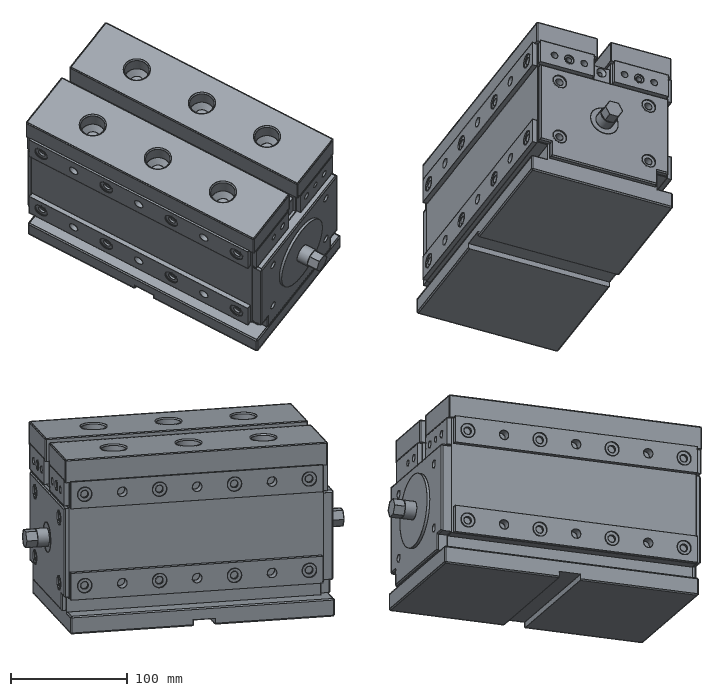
import cadquery as cq


base_left = -116.2
base_length = 233.0
base_width = 133.3
base_height = 15.7
base_chamfer = 1.0
key_slot_center = 2.0
key_slot_width = 19.5
key_slot_height = 5.3

body_left = base_left
body_right = 108.5
body_width = 122.5
body_top = 111.2
neck_width = 103.3
shoulder_height = 30.2

plate_width = 121.0
plate_neck_width = 100.2
plate_top = 110.3
plate_bottom = 16.8
plate_shoulder = 31.5
plate_chamfer = 1.0
left_plate_thickness = 4.2
right_plate_thickness = 9.0
right_plate_top_chamfer = 1.7
left_plate_face = body_left - left_plate_thickness
right_plate_face = body_right + right_plate_thickness
plate_screw_y = 42.0
plate_screw_heights = (39.5, 97.5)
plate_screw_bore = 6.7
plate_screw_head = 12.5
plate_screw_head_depth = 1.0

spindle_z = 68.5
spindle_length = 280.0
spindle_diameter = 16.0
hex_across_flats = 14.0
hex_length = 9.8
spindle_recess = 26.0
spindle_recess_depth = 0.3
flange_diameter = 64.7
flange_face = 119.8

total_height = 154.3
slab_left = -120.0
slab_right = 111.5
slab_bottom = 134.0
slab_inner_y = 6.2
slab_outer_y = 63.5
slab_chamfer = 0.8
slide_inner_y = 7.8
slide_outer_y = body_width / 2

cover_inner_y = 9.5
cover_outer_y = 60.5
cover_bottom = 112.8
cover_top = 135.5
left_cover_face = -120.5
right_cover_face = 112.3
right_cover_bottom = plate_top
right_cover_top = slab_bottom
cover_hole_z = 123.5
cover_screw_y = 33.0
cover_screw_bore = 5.0
cover_screw_head = 8.7
cover_screw_head_depth = 1.0
cover_side_hole = 6.2
cover_side_offset = 14.0
blind_hole_depth = 22.5

rib_left = -114.2
rib_right = 105.8
rib_top = 128.8
rib_cap_length = 3.0
rib_cap_rise = 0.3
rib_hole_z = cover_hole_z
rib_hole_mouth = 8.7
rib_hole_bore = 4.2
rib_hole_cone_depth = 2.8

bore_pitch = 66.0
bore_middle_x = -4.2
bore_y = 35.0
bore_diameter = 21.0
bore_mouth_diameter = 23.2
bore_straight_depth = 13.0
bore_floor_diameter = 11.2
bore_cone_depth = 4.2

bar_left = -115.5
bar_right = 106.7
bar_outer_y = 65.5
bar_height = 23.8
bar_bottoms = (30.0, 111.2)
bar_screw_height = 12.0
bar_screw_head = 12.5
bar_screw_head_depth = 1.0
bar_socket = 6.7
bar_socket_depth = 3.5
bar_hole = 8.5
bar_hole_depth = 8.5


def block(x_range, y_range, z_range):
    """Box between the given limits on each axis."""
    limits = (x_range, y_range, z_range)
    sizes = [high - low for low, high in limits]
    corner = tuple(low for low, high in limits)
    return cq.Workplane("XY").box(*sizes, centered=False).translate(corner)


def rod_x(x_start, x_end, y, z, diameter):
    """Round rod running along X."""
    return (
        cq.Workplane("YZ", origin=(x_start, y, z))
        .circle(diameter / 2)
        .extrude(x_end - x_start)
    )


def shouldered_prism(x_start, x_end, width, narrow_width, bottom, shoulder, top):
    """Prism along X, narrow from its bottom to the shoulder and full width up to its top."""
    half = width / 2
    narrow = narrow_width / 2
    outline = [
        (-narrow, bottom),
        (narrow, bottom),
        (narrow, shoulder),
        (half, shoulder),
        (half, top),
        (-half, top),
        (-half, shoulder),
        (-narrow, shoulder),
    ]
    return (
        cq.Workplane("YZ", origin=(x_start, 0, 0))
        .polyline(outline)
        .close()
        .extrude(x_end - x_start)
    )


def make_base():
    half_width = base_width / 2
    base_x = (base_left, base_left + base_length)
    base = block(base_x, (-half_width, half_width), (0, base_height)).edges().chamfer(base_chamfer)
    half_slot = key_slot_width / 2
    slot_x = (key_slot_center - half_slot, key_slot_center + half_slot)
    return base.cut(block(slot_x, (-half_width, half_width), (0, key_slot_height)))


def make_body():
    body_bottom = base_height - base_chamfer
    body = shouldered_prism(
        body_left, body_right, body_width, neck_width, body_bottom, shoulder_height, body_top
    )
    plate_section = (plate_width, plate_neck_width, plate_bottom, plate_shoulder, plate_top)
    left_plate = shouldered_prism(left_plate_face, body_left, *plate_section)
    left_plate = left_plate.faces("<X").chamfer(plate_chamfer)
    recess_end = left_plate_face + spindle_recess_depth
    left_plate = left_plate.cut(
        rod_x(left_plate_face, recess_end, 0, spindle_z, spindle_recess)
    )
    right_plate = shouldered_prism(body_right, right_plate_face, *plate_section)
    right_plate = right_plate.faces(">X").chamfer(plate_chamfer)
    right_plate = right_plate.faces(">Z").edges("|X").chamfer(right_plate_top_chamfer)
    flange = rod_x(right_plate_face, flange_face, 0, spindle_z, flange_diameter)
    return body.union(left_plate).union(right_plate).union(flange)


def make_spindle():
    half_length = spindle_length / 2
    shoulder_x = half_length - hex_length
    hex_corner_diameter = 2 * hex_across_flats / 3**0.5
    spindle = rod_x(-shoulder_x, shoulder_x, 0, spindle_z, spindle_diameter)
    for end_x in (-half_length, shoulder_x):
        hexagon = (
            cq.Workplane("YZ", origin=(end_x, 0, spindle_z))
            .polygon(6, hex_corner_diameter)
            .extrude(hex_length)
        )
        spindle = spindle.union(hexagon)
    return spindle


def make_jaw():
    """Jaw on the +Y side, with its end covers."""
    slab = (
        block((slab_left, slab_right), (slab_inner_y, slab_outer_y), (slab_bottom, total_height))
        .faces(">Z or <Y or >Y")
        .edges("not <Z")
        .chamfer(slab_chamfer)
    )
    slide = block(
        (body_left, body_right), (slide_inner_y, slide_outer_y), (body_top, slab_bottom)
    )
    cover_y = (cover_inner_y, cover_outer_y)
    left_cover = block((left_cover_face, body_left), cover_y, (cover_bottom, cover_top))
    right_cover = block(
        (body_right, right_cover_face), cover_y, (right_cover_bottom, right_cover_top)
    )
    return slab.union(slide).union(left_cover).union(right_cover).cut(make_slab_bores())


def make_slab_bores():
    """Row of three mouth-chamfered bores, each with a conical bottom and a small flat floor."""
    rim = (bore_mouth_diameter - bore_diameter) / 2
    wall_end = total_height - bore_straight_depth
    profile = [
        (0, total_height),
        (bore_mouth_diameter / 2, total_height),
        (bore_diameter / 2, total_height - rim),
        (bore_diameter / 2, wall_end),
        (bore_floor_diameter / 2, wall_end - bore_cone_depth),
        (0, wall_end - bore_cone_depth),
    ]
    bore = cq.Workplane("XZ").polyline(profile).close().revolve(360, (0, 0, 0), (0, 1, 0))
    bores = cq.Workplane("XY")
    for step in (-1, 0, 1):
        bores = bores.add(bore.translate((bore_middle_x + step * bore_pitch, bore_y, 0)))
    return bores.combine()


def make_rib():
    half_width = slide_inner_y
    rib_y = (-half_width, half_width)
    rib = block((rib_left, rib_right), rib_y, (body_top, rib_top - rib_cap_rise))
    for start in (rib_left, rib_right - rib_cap_length):
        rib = rib.union(block((start, start + rib_cap_length), rib_y, (body_top, rib_top)))
    return rib


def make_side_bar(bottom):
    """Screwed-on bar on the +Y face, without its holes."""
    return block(
        (bar_left, bar_right), (body_width / 2, bar_outer_y), (bottom, bottom + bar_height)
    )


def make_side_bar_holes(bottom):
    """Sunk screw heads and plain holes, alternating at half the bore pitch."""
    hole_z = bottom + bar_screw_height

    def drill(steps, diameter, depth):
        centers = [(bore_middle_x + step * bore_pitch, hole_z) for step in steps]
        return (
            cq.Workplane("XZ", origin=(0, bar_outer_y, 0))
            .pushPoints(centers)
            .circle(diameter / 2)
            .extrude(depth)
        )

    screw_steps = (-1.5, -0.5, 0.5, 1.5)
    heads = drill(screw_steps, bar_screw_head, bar_screw_head_depth)
    sockets = drill(screw_steps, bar_socket, bar_socket_depth)
    plain_holes = drill((-1, 0, 1), bar_hole, bar_hole_depth)
    return heads.union(sockets).union(plain_holes)


def make_end_holes():
    """Holes running along X through the body, the slides and the rib."""
    x_start = left_cover_face
    x_end = right_plate_face
    holes = cq.Workplane("XY")
    for side in (-1, 1):
        for z in plate_screw_heights:
            y = side * plate_screw_y
            head_end = left_plate_face + plate_screw_head_depth
            holes = holes.add(rod_x(x_start, x_end, y, z, plate_screw_bore))
            holes = holes.add(rod_x(x_start, head_end, y, z, plate_screw_head))

        y = side * cover_screw_y
        head_end = left_cover_face + cover_screw_head_depth
        holes = holes.add(rod_x(x_start, x_end, y, cover_hole_z, cover_screw_bore))
        holes = holes.add(rod_x(x_start, head_end, y, cover_hole_z, cover_screw_head))

        outer_y = side * (cover_screw_y + cover_side_offset)
        inner_y = side * (cover_screw_y - cover_side_offset)
        outer_end = x_end if side > 0 else x_start + blind_hole_depth
        holes = holes.add(rod_x(x_start, x_end, inner_y, cover_hole_z, cover_side_hole))
        holes = holes.add(rod_x(x_start, outer_end, outer_y, cover_hole_z, cover_side_hole))

    cone = (
        cq.Workplane("YZ", origin=(rib_left, 0, rib_hole_z))
        .circle(rib_hole_mouth / 2)
        .workplane(offset=rib_hole_cone_depth)
        .circle(rib_hole_bore / 2)
        .loft()
    )
    holes = holes.add(cone)
    holes = holes.add(rod_x(rib_left, rib_right, 0, rib_hole_z, rib_hole_bore))
    return holes.combine()


result = make_base().union(make_body()).union(make_rib())

jaw = make_jaw()
result = result.union(jaw).union(jaw.mirror("XZ"))

for bar_bottom in bar_bottoms:
    bar = make_side_bar(bar_bottom)
    bar_holes = make_side_bar_holes(bar_bottom)
    result = result.union(bar).union(bar.mirror("XZ"))
    result = result.cut(bar_holes).cut(bar_holes.mirror("XZ"))

result = result.cut(make_end_holes()).union(make_spindle())